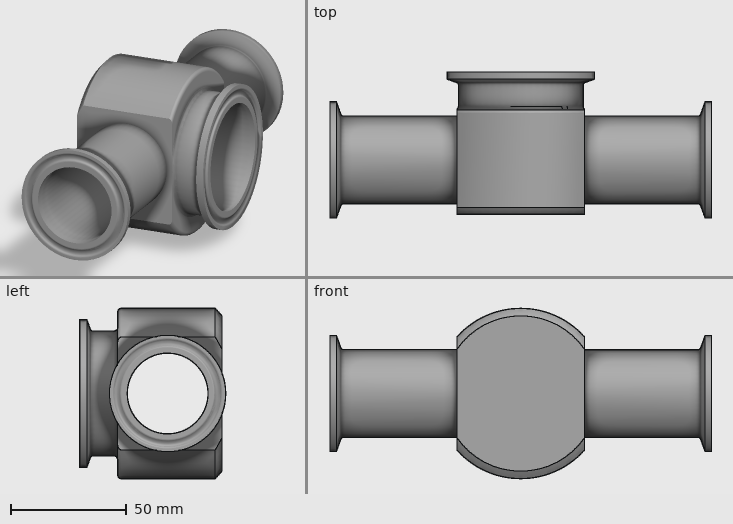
import cadquery as cq
import math

run_length = 165.1
run_outer_dia = 38.1
run_bore_dia = 34.8
run_flange_dia = 50.4
run_rim_thickness = 2.8
run_groove_mid_dia = 43.8

overall_depth = 63.2
branch_length = overall_depth - run_flange_dia / 2
branch_outer_dia = 54.2
branch_bore_dia = 47.5
branch_flange_dia = 63.9
branch_rim_thickness = 3.1
branch_groove_mid_dia = 56.5

taper_angle = math.radians(20)
taper_fillet = 0.8
groove_width = 3.0
groove_depth = 1.2
groove_lip_fillet = 0.8

body_dia = 73.8
body_flat_width = 55.3
front_setback = 1.7
body_front = front_setback - run_flange_dia / 2
body_back = 21.6
front_chamfer_length = 3.0
front_chamfer_depth = 3.3
back_edge_fillet = 1.7
neck_fillet = 1.5


def revolve_about_z(profile):
    return profile.close().revolve(360, (0, 0), (0, 1))


def turn_z_to_y(shape):
    return shape.rotate((0, 0, 0), (1, 0, 0), -90)


def solid_ferrule(flange_dia, neck_dia, rim_thickness, length):
    """Ferrule blank about Z with its base at z = 0 and its clamp face at z = length."""
    flange_r = flange_dia / 2
    neck_r = neck_dia / 2
    rim_back = length - rim_thickness
    taper_end_r = neck_r + taper_fillet * (1 - math.sin(taper_angle))
    taper_end = rim_back - (flange_r - taper_end_r) * math.tan(taper_angle)
    neck_end = taper_end - taper_fillet * math.cos(taper_angle)
    return revolve_about_z(
        cq.Workplane("XZ")
        .lineTo(neck_r, 0)
        .lineTo(neck_r, neck_end)
        .radiusArc((taper_end_r, taper_end), taper_fillet)
        .lineTo(flange_r, rim_back)
        .lineTo(flange_r, length)
        .lineTo(0, length)
    )


def cut_gasket_groove(ferrule, mid_dia, length):
    """Cut the round-bottomed gasket groove into the clamp face and round its two lips."""
    mid_r = mid_dia / 2
    inner_r = mid_r - groove_width / 2
    outer_r = mid_r + groove_width / 2
    groove = revolve_about_z(
        cq.Workplane("XZ")
        .moveTo(inner_r, length)
        .threePointArc((mid_r, length - groove_depth), (outer_r, length))
    )
    lips = cq.selectors.BoxSelector(
        (-mid_r - groove_width, -mid_r - groove_width, length - groove_depth / 4),
        (mid_r + groove_width, mid_r + groove_width, length + groove_depth / 4),
        boundingbox=True,
    )
    return ferrule.cut(groove).edges(lips).fillet(groove_lip_fillet)


def solid_body():
    """Body turned about Z, with the fillet at the root of the branch neck, trimmed by the two flats."""
    block = (
        cq.Workplane("XY")
        .workplane(offset=body_front)
        .circle(body_dia / 2)
        .extrude(body_back - body_front)
    )
    block = block.faces("<Z").chamfer(front_chamfer_length, front_chamfer_depth)
    block = block.faces(">Z").edges().fillet(back_edge_fillet)

    neck_r = branch_outer_dia / 2
    fillet_top = body_back + neck_fillet
    neck_root = revolve_about_z(
        cq.Workplane("XZ")
        .moveTo(0, body_back)
        .lineTo(neck_r + neck_fillet, body_back)
        .radiusArc((neck_r, fillet_top), neck_fillet)
        .lineTo(0, fillet_top)
    )
    between_flats = cq.Workplane("XY").box(body_flat_width, body_dia, 2 * branch_length)
    return block.union(neck_root).intersect(between_flats)


branch = solid_ferrule(branch_flange_dia, branch_outer_dia, branch_rim_thickness, branch_length)
branch = cut_gasket_groove(branch, branch_groove_mid_dia, branch_length)
result = turn_z_to_y(solid_body().union(branch))

half_run = run_length / 2
run_end = solid_ferrule(run_flange_dia, run_outer_dia, run_rim_thickness, half_run)
run_end = cut_gasket_groove(run_end, run_groove_mid_dia, half_run)
for side_angle in (-90, 90):
    result = result.union(run_end.rotate((0, 0, 0), (0, 1, 0), side_angle))

run_bore = cq.Workplane("YZ").circle(run_bore_dia / 2).extrude(half_run, both=True)
branch_bore = cq.Workplane("XY").circle(branch_bore_dia / 2).extrude(branch_length)
result = result.cut(run_bore).cut(turn_z_to_y(branch_bore))